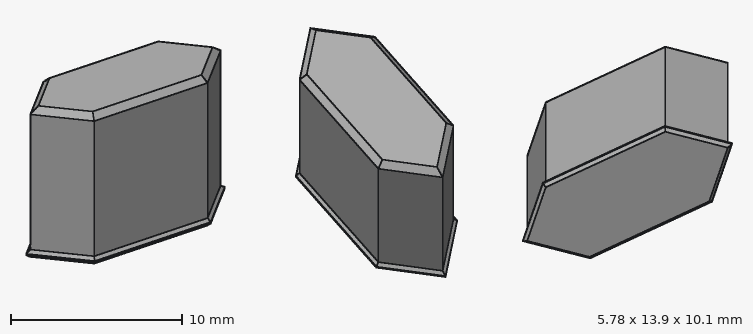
import cadquery as cq

flange_width = 5.78
flange_length = 13.87
total_height = 10.07

flange_overhang = 0.2
flange_bevel_height = 0.2
flange_land_height = 0.1

top_bevel = 0.4

land_bottom = flange_bevel_height
land_top = land_bottom + flange_land_height
body_bottom = land_top + flange_bevel_height
body_top = total_height - top_bevel


def pointed_hexagon(level, inset):
    """Elongated hexagon with 45 degree points along Y, offset inwards from the flange edge by inset."""
    half_width = flange_width / 2 - inset
    tip_y = flange_length / 2 - inset * 2**0.5
    shoulder_y = tip_y - half_width
    return (
        cq.Workplane("XY", origin=(0, 0, level))
        .moveTo(0, -tip_y)
        .lineTo(half_width, -shoulder_y)
        .lineTo(half_width, shoulder_y)
        .lineTo(0, tip_y)
        .lineTo(-half_width, shoulder_y)
        .lineTo(-half_width, -shoulder_y)
        .close()
    )


def prism(bottom, top, inset):
    """Straight-sided hexagonal layer."""
    return pointed_hexagon(bottom, inset).extrude(top - bottom)


def bevel_layer(bottom, bottom_inset, top, top_inset):
    """Hexagonal layer whose sides slope between two insets."""
    lower_wire = pointed_hexagon(bottom, bottom_inset).val()
    upper_wire = pointed_hexagon(top, top_inset).val()
    return cq.Workplane(cq.Solid.makeLoft([lower_wire, upper_wire], True))


result = bevel_layer(0, flange_overhang, land_bottom, 0)
result = result.union(prism(land_bottom, land_top, 0))
result = result.union(bevel_layer(land_top, 0, body_bottom, flange_overhang))

result = result.union(prism(body_bottom, body_top, flange_overhang))
result = result.union(bevel_layer(body_top, flange_overhang, total_height, flange_overhang + top_bevel))